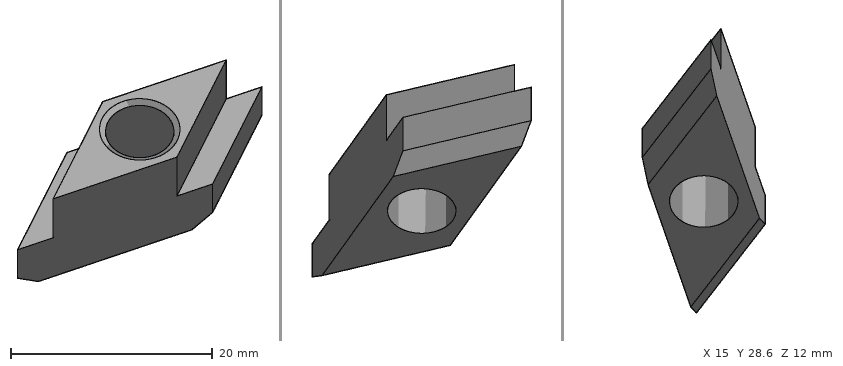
import cadquery as cq

length = 28.58
base_width = 15.0
neck_width = 9.52
height = 12.0
base_height = height / 2
edge_chamfer = 1.6
hole_diameter = 6.8
countersink_diameter = 8.0
countersink_angle = 120

half_length = length / 2
half_base = base_width / 2
half_neck = neck_width / 2
side_length = length - base_width


def t_section_bar():
    """T-shaped XZ section with chamfered bottom edges, extruded along Y."""
    return (
        cq.Workplane("XZ")
        .moveTo(-half_base + edge_chamfer, 0)
        .lineTo(half_base - edge_chamfer, 0)
        .lineTo(half_base, edge_chamfer)
        .lineTo(half_base, base_height)
        .lineTo(half_neck, base_height)
        .lineTo(half_neck, height)
        .lineTo(-half_neck, height)
        .lineTo(-half_neck, base_height)
        .lineTo(-half_base, base_height)
        .lineTo(-half_base, edge_chamfer)
        .close()
        .extrude(half_length, both=True)
    )


def rhomboid_block():
    """Plan outline with straight sides along Y and 45 degree ends."""
    outline = [
        (-half_base, -half_length),
        (half_base, half_length - side_length),
        (half_base, half_length),
        (-half_base, side_length - half_length),
    ]
    return cq.Workplane("XY").polyline(outline).close().extrude(height)


result = (
    t_section_bar()
    .intersect(rhomboid_block())
    .faces(">Z")
    .workplane(origin=(0, 0, height))
    .cskHole(hole_diameter, countersink_diameter, countersink_angle)
)